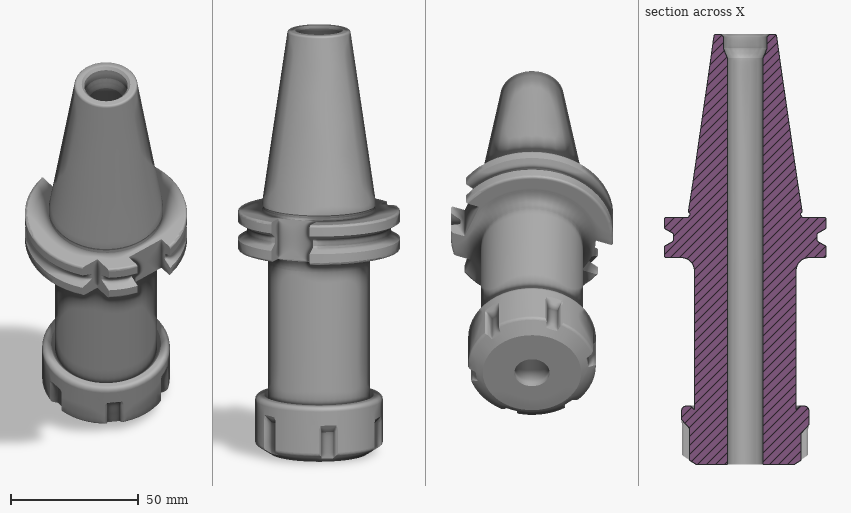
import cadquery as cq
import math


GAUGE_DIAMETER = 44.45
TAPER_RATIO = 7 / 24
SHANK_LENGTH = 68.4
SHANK_EDGE_RADIUS = 1.0

TAPER_OVERRUN = 1.1
RELIEF_DEPTH = 0.4
RELIEF_UPPER_SLOPE = 0.5
RELIEF_LOWER_SLOPE = 0.8

FLANGE_DIAMETER = 63.55
FLANGE_TOP = -3.2
FLANGE_BOTTOM = -19.1
FLANGE_EDGE_RADIUS = 1.0
GROOVE_CENTRE = -11.1
GROOVE_BOTTOM_DIAMETER = 56.25
GROOVE_MOUTH_WIDTH = 7.0
GROOVE_HALF_ANGLE = 30.0
GROOVE_FILLET = 0.8

KEYWAY_WIDTH = 16.1
KEYWAY_FLOOR_LEFT = 22.8
KEYWAY_FLOOR_RIGHT = 25.1
NOTCH_OFFSET = 18.5

BODY_DIAMETER = 40.0
BODY_FILLET = 5.0

NUT_DIAMETER = 50.0
NUT_TOP = -77.0
NUT_BOTTOM = -100.0
NUT_TOP_RADIUS = 1.9
NUT_RECESS_DIAMETER = 43.0
NUT_RECESS_DEPTH = 1.5
NUT_FACE_DIAMETER = 38.5
NUT_CONE_HEIGHT = 3.7
NUT_CONE_EDGE_RADIUS = 1.5

SLOT_COUNT = 6
FIRST_SLOT_ANGLE = 30.0
SLOT_MOUTH_WIDTH = 7.8
SLOT_FLOOR_WIDTH = 4.6
SLOT_FLOOR_RADIUS = 22.0
SLOT_CHAMFER = 1.0
SLOT_CORNER_RADIUS = 2.5
SLOT_CEILING_DROP = 3.3
SHORT_SLOT_DROP = 7.4
TALL_SLOT_DROP = 5.4

BORE_DIAMETER = 13.8
COUNTERBORE_DIAMETER = 17.0
COUNTERBORE_DEPTH = 5.5
COUNTERBORE_CHAMFER = 1.0
STEP_DIAMETER = 15.4
STEP_DEPTH = 7.6
CONE_END_DEPTH = 9.4

GAUGE_RADIUS = GAUGE_DIAMETER / 2
SHANK_END_RADIUS = GAUGE_RADIUS - SHANK_LENGTH * TAPER_RATIO / 2
FLANGE_RADIUS = FLANGE_DIAMETER / 2
FLANGE_HEIGHT = FLANGE_TOP - FLANGE_BOTTOM
BODY_RADIUS = BODY_DIAMETER / 2
NUT_RADIUS = NUT_DIAMETER / 2
SHORT_SLOT_TOP = NUT_TOP - SHORT_SLOT_DROP
TALL_SLOT_TOP = NUT_TOP - TALL_SLOT_DROP
CUT_MARGIN = 5.0


def revolve(outline):
    """Turn a closed outline of (radius, z) about the Z axis."""
    return outline.close().revolve(360, (0, 0, 0), (0, 1, 0))


def make_shank():
    taper_base_radius = GAUGE_RADIUS + TAPER_OVERRUN * TAPER_RATIO / 2
    relief_radius = GAUGE_RADIUS - RELIEF_DEPTH
    relief_top = -TAPER_OVERRUN - RELIEF_UPPER_SLOPE
    shank = revolve(
        cq.Workplane("XZ")
        .moveTo(0, SHANK_LENGTH)
        .lineTo(SHANK_END_RADIUS, SHANK_LENGTH)
        .lineTo(taper_base_radius, -TAPER_OVERRUN)
        .lineTo(relief_radius, relief_top)
        .lineTo(relief_radius, FLANGE_TOP + RELIEF_LOWER_SLOPE)
        .lineTo(taper_base_radius, FLANGE_TOP)
        .lineTo(0, FLANGE_TOP)
    )
    return shank.faces(">Z").edges().fillet(SHANK_EDGE_RADIUS)


def make_flange():
    disc = (
        cq.Workplane("XY", origin=(0, 0, FLANGE_BOTTOM))
        .circle(FLANGE_RADIUS)
        .extrude(FLANGE_HEIGHT)
        .edges()
        .fillet(FLANGE_EDGE_RADIUS)
    )
    return disc.cut(make_v_groove())


def make_v_groove():
    floor_radius = GROOVE_BOTTOM_DIAMETER / 2
    slope = math.tan(math.radians(GROOVE_HALF_ANGLE))
    outer_radius = FLANGE_RADIUS + CUT_MARGIN
    floor_half = GROOVE_MOUTH_WIDTH / 2 - (FLANGE_RADIUS - floor_radius) * slope
    outer_half = GROOVE_MOUTH_WIDTH / 2 + CUT_MARGIN * slope
    groove = revolve(
        cq.Workplane("XZ")
        .moveTo(floor_radius, GROOVE_CENTRE + floor_half)
        .lineTo(outer_radius, GROOVE_CENTRE + outer_half)
        .lineTo(outer_radius, GROOVE_CENTRE - outer_half)
        .lineTo(floor_radius, GROOVE_CENTRE - floor_half)
    )
    return groove.edges(cq.selectors.RadiusNthSelector(0)).fillet(GROOVE_FILLET)


def make_flange_cutouts():
    """Two drive keyways on the X axis and the orientation notch at +X, -Y."""
    reach = FLANGE_RADIUS + CUT_MARGIN
    half_width = KEYWAY_WIDTH / 2
    left = flange_block(-reach, -KEYWAY_FLOOR_LEFT, -half_width, half_width)
    right = flange_block(KEYWAY_FLOOR_RIGHT, reach, -half_width, half_width)
    notch = flange_block(NOTCH_OFFSET, reach, -reach, -NOTCH_OFFSET)
    return left.union(right).union(notch)


def flange_block(x_min, x_max, y_min, y_max):
    """Rectangular block spanning the full height of the flange."""
    block = cq.Workplane("XY").box(x_max - x_min, y_max - y_min, FLANGE_HEIGHT, centered=False)
    return block.translate((x_min, y_min, FLANGE_BOTTOM))


def make_body():
    """Cylinder with a concave fillet running out under the flange."""
    flare_radius = BODY_RADIUS + BODY_FILLET
    diagonal = BODY_FILLET * (1 - math.sqrt(0.5))
    return revolve(
        cq.Workplane("XZ")
        .moveTo(0, FLANGE_BOTTOM)
        .lineTo(flare_radius, FLANGE_BOTTOM)
        .threePointArc(
            (BODY_RADIUS + diagonal, FLANGE_BOTTOM - diagonal),
            (BODY_RADIUS, FLANGE_BOTTOM - BODY_FILLET),
        )
        .lineTo(BODY_RADIUS, NUT_TOP - NUT_RECESS_DEPTH)
        .lineTo(0, NUT_TOP - NUT_RECESS_DEPTH)
    )


def make_nut():
    cone_top = NUT_BOTTOM + NUT_CONE_HEIGHT
    nut = revolve(
        cq.Workplane("XZ")
        .moveTo(0, NUT_TOP)
        .lineTo(NUT_RADIUS, NUT_TOP)
        .lineTo(NUT_RADIUS, cone_top)
        .lineTo(NUT_FACE_DIAMETER / 2, NUT_BOTTOM)
        .lineTo(0, NUT_BOTTOM)
    )
    nut = nut.faces(">Z").edges().fillet(NUT_TOP_RADIUS)
    cone_edge = cq.selectors.NearestToPointSelector((0, 0, cone_top))
    nut = nut.edges(cone_edge).fillet(NUT_CONE_EDGE_RADIUS)
    nut = nut.cut(make_nut_recess())
    for index in range(SLOT_COUNT):
        angle = FIRST_SLOT_ANGLE + index * 360 / SLOT_COUNT
        slot_top = TALL_SLOT_TOP if angle < 180 else SHORT_SLOT_TOP
        nut = nut.cut(make_slot(slot_top).rotate((0, 0, 0), (0, 0, 1), angle))
    return nut


def make_nut_recess():
    """Conical lead-in around the body at the top of the nut."""
    return revolve(
        cq.Workplane("XZ")
        .moveTo(0, NUT_TOP)
        .lineTo(NUT_RECESS_DIAMETER / 2, NUT_TOP)
        .lineTo(BODY_RADIUS, NUT_TOP - NUT_RECESS_DEPTH)
        .lineTo(0, NUT_TOP - NUT_RECESS_DEPTH)
    )


def make_slot(slot_top):
    """Slot cutter on the +X side: flaring bevelled sides, sloping ceiling, flat floor, open below."""
    depth = NUT_RADIUS - SLOT_FLOOR_RADIUS
    open_bottom = NUT_BOTTOM - CUT_MARGIN
    ceiling_slope = SLOT_CEILING_DROP / depth
    outer_radius = NUT_RADIUS + CUT_MARGIN
    outer_half = SLOT_MOUTH_WIDTH / 2 + CUT_MARGIN
    outer_top = slot_top + CUT_MARGIN * ceiling_slope
    bevel_radius = NUT_RADIUS - SLOT_CHAMFER
    bevel_half = SLOT_MOUTH_WIDTH / 2 - SLOT_CHAMFER
    floor_half = SLOT_FLOOR_WIDTH / 2
    flared = (
        cq.Workplane("XY", origin=(0, 0, open_bottom))
        .moveTo(SLOT_FLOOR_RADIUS, -floor_half)
        .lineTo(bevel_radius, -bevel_half)
        .lineTo(outer_radius, -outer_half)
        .lineTo(outer_radius, outer_half)
        .lineTo(bevel_radius, bevel_half)
        .lineTo(SLOT_FLOOR_RADIUS, floor_half)
        .close()
        .extrude(outer_top - open_bottom)
    )
    sloped = (
        cq.Workplane("XZ")
        .moveTo(SLOT_FLOOR_RADIUS, open_bottom)
        .lineTo(outer_radius, open_bottom)
        .lineTo(outer_radius, outer_top)
        .lineTo(SLOT_FLOOR_RADIUS, slot_top - SLOT_CEILING_DROP)
        .close()
        .extrude(outer_half, both=True)
    )
    bevel_corners = cq.selectors.BoxSelector(
        (bevel_radius, -outer_half, open_bottom),
        (outer_radius, outer_half, outer_top),
    )
    slot = flared.intersect(sloped)
    return slot.edges("not(|Z or #Z)").edges(bevel_corners).fillet(SLOT_CORNER_RADIUS)


def make_bore():
    """Through bore with a counterbore at the shank end that narrows in two cones."""
    bore_radius = BORE_DIAMETER / 2
    counterbore_radius = COUNTERBORE_DIAMETER / 2
    return revolve(
        cq.Workplane("XZ")
        .moveTo(0, SHANK_LENGTH)
        .lineTo(counterbore_radius + COUNTERBORE_CHAMFER, SHANK_LENGTH)
        .lineTo(counterbore_radius, SHANK_LENGTH - COUNTERBORE_CHAMFER)
        .lineTo(counterbore_radius, SHANK_LENGTH - COUNTERBORE_DEPTH)
        .lineTo(STEP_DIAMETER / 2, SHANK_LENGTH - STEP_DEPTH)
        .lineTo(bore_radius, SHANK_LENGTH - CONE_END_DEPTH)
        .lineTo(bore_radius, NUT_BOTTOM)
        .lineTo(0, NUT_BOTTOM)
    )


holder = make_flange().union(make_body()).union(make_shank())
holder = holder.cut(make_flange_cutouts())
result = holder.union(make_nut()).cut(make_bore())